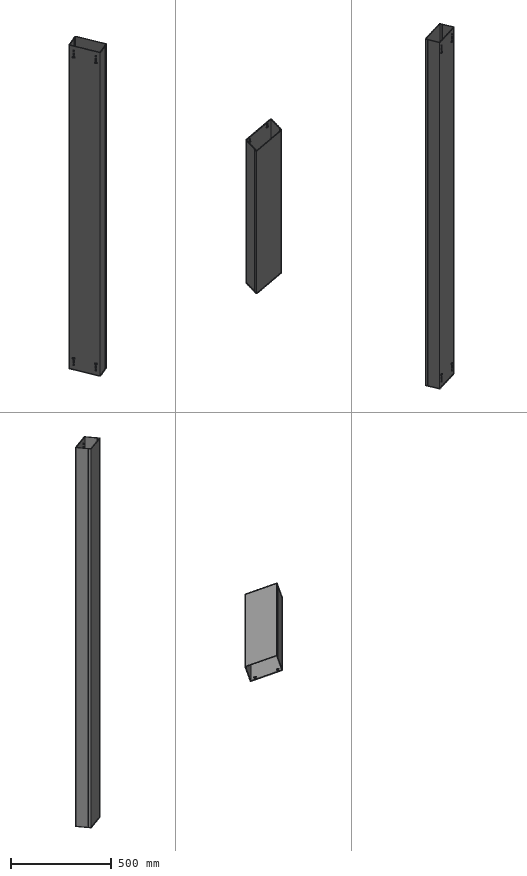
import cadquery as cq

LENGTH = 2000.0
WIDTH = 170.0
CORNER_RADIUS = 5.0

SHOULDER_HEIGHT = 65.0
BASE_WALL = 3.0

LID_WALL = 2.0
LIP_DEPTH = 15.0
GROOVE = 0.9

HOLE_DIAMETER = 7.0
SLOT_WIDTH = HOLE_DIAMETER
SLOT_LENGTH = 2 * SLOT_WIDTH
HOLE_SPACING = 120.0
FIRST_INSET = 30.0
HOLE_PITCH = 20.0

DEPTH = SHOULDER_HEIGHT + GROOVE + LIP_DEPTH
BACK_Y = -DEPTH / 2
FRONT_Y = DEPTH / 2
SHOULDER_Y = BACK_Y + SHOULDER_HEIGHT
LID_INNER_WIDTH = WIDTH - 2 * LID_WALL
LID_INNER_Y = FRONT_Y - LID_WALL


def bar(width, y_start, y_end):
    """Full-length bar centred on X = 0 between two Y planes."""
    return cq.Workplane("XY").box(width, y_end - y_start, LENGTH).translate((0, (y_start + y_end) / 2, 0))


def hole_group(side, end):
    """Cutters for a round hole, a lengthwise slot and a crosswise slot, in that order from one end."""

    def back_wall(row):
        inset = FIRST_INSET + row * HOLE_PITCH
        centre = (side * HOLE_SPACING / 2, BACK_Y + BASE_WALL, end * (LENGTH / 2 - inset))
        return cq.Workplane("XZ", origin=centre)

    round_hole = back_wall(0).circle(HOLE_DIAMETER / 2).extrude(BASE_WALL)
    lengthwise_slot = back_wall(1).slot2D(SLOT_LENGTH, SLOT_WIDTH, 90).extrude(BASE_WALL)
    crosswise_slot = back_wall(2).slot2D(SLOT_LENGTH, SLOT_WIDTH).extrude(BASE_WALL)
    return round_hole.add(lengthwise_slot).add(crosswise_slot).combine()


def make_base():
    """Channel open toward +Y, with thinner upper walls that fit inside the lid lips."""
    body = bar(WIDTH, BACK_Y, SHOULDER_Y).edges("|Z and <Y").fillet(CORNER_RADIUS)
    neck = bar(LID_INNER_WIDTH, SHOULDER_Y, LID_INNER_Y)
    cavity = bar(WIDTH - 2 * BASE_WALL, BACK_Y + BASE_WALL, LID_INNER_Y)
    base = body.union(neck).cut(cavity)
    for side in (-1, 1):
        for end in (-1, 1):
            base = base.cut(hole_group(side, end))
    return base


def make_lid():
    """Cover plate with a short lip along each long side."""
    lip_end_y = FRONT_Y - LIP_DEPTH
    outer = bar(WIDTH, lip_end_y, FRONT_Y).edges("|Z and >Y").fillet(CORNER_RADIUS)
    return outer.cut(bar(LID_INNER_WIDTH, lip_end_y, LID_INNER_Y))


base = make_base()
lid = make_lid()
result = cq.Compound.makeCompound([base.val(), lid.val()])